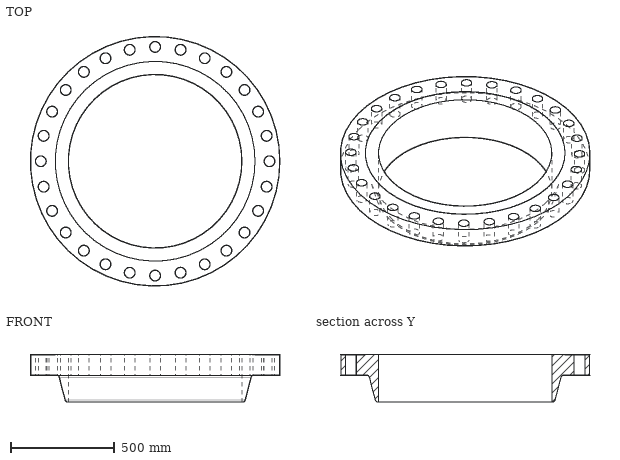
import cadquery as cq

outer_diameter = 1206.0
total_height = 232.0
flange_thickness = 101.0
bore_diameter = 837.0

face_diameter = 965.0
face_height = 1.0

hub_top_diameter = 934.0
hub_bottom_diameter = 866.0
root_fillet = 13.0
rim_fillet = 15.0

bolt_count = 28
bolt_circle_diameter = 1105.0
bolt_hole_diameter = 51.0

flange_bottom = total_height - flange_thickness
flange_top = total_height - face_height


def make_body():
    """Revolve the hub, flange and sealing face about the Z axis as a solid blank."""
    return (
        cq.Workplane("XZ")
        .lineTo(hub_bottom_diameter / 2, 0)
        .lineTo(hub_top_diameter / 2, flange_bottom)
        .lineTo(outer_diameter / 2, flange_bottom)
        .lineTo(outer_diameter / 2, flange_top)
        .lineTo(face_diameter / 2, flange_top)
        .lineTo(face_diameter / 2, total_height)
        .lineTo(0, total_height)
        .close()
        .revolve(360, (0, 0, 0), (0, 1, 0))
    )


def round_hub(body):
    """Round the hub's root under the flange, then its lower rim."""
    root_edge = cq.selectors.RadiusNthSelector(1)
    body = body.edges("%CIRCLE").edges(root_edge).fillet(root_fillet)
    return body.faces("<Z").edges().fillet(rim_fillet)


def make_bore():
    """Cylinder that clears the centre through the full height."""
    return cq.Workplane("XY").circle(bore_diameter / 2).extrude(total_height)


def make_bolt_holes():
    """Ring of cylinders that drill through the flange, one of them on the +X axis."""
    return (
        cq.Workplane("XY")
        .polarArray(bolt_circle_diameter / 2, 0, 360, bolt_count)
        .circle(bolt_hole_diameter / 2)
        .extrude(total_height)
    )


result = round_hub(make_body()).cut(make_bore()).cut(make_bolt_holes())